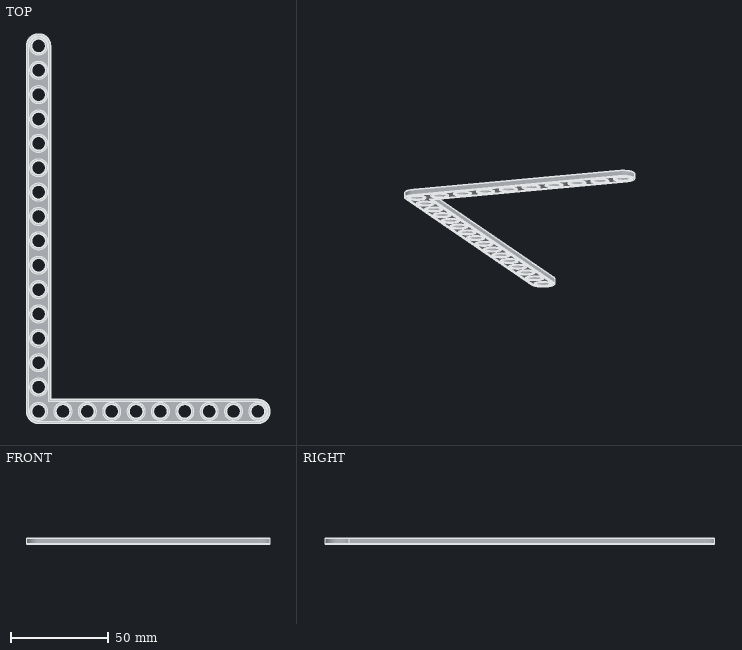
import cadquery as cq

overall_length = 200.0
long_arm_holes = 16
short_arm_holes = 10
thickness = 3.2
hole_diameter = 7.0
hole_rim_diameter = 9.2
edge_chamfer = 0.3
recess_depth = 0.25

pitch = overall_length / long_arm_holes
bar_width = pitch
long_arm_span = (long_arm_holes - 1) * pitch
short_arm_span = (short_arm_holes - 1) * pitch
hole_mouth_diameter = hole_diameter + 2 * edge_chamfer
border_width = (hole_rim_diameter - hole_diameter) / 2
recess_width = bar_width - 2 * border_width


def make_arm(span, width, height, angle):
    """Round-ended bar from the corner hole at the origin, turned about Z by angle."""
    arm = cq.Workplane("XY").center(span / 2, 0).slot2D(span + width, width).extrude(height)
    return arm.rotate((0, 0, 0), (0, 0, 1), angle)


def make_angle_plate(width, height):
    """L-shaped plate of two arms that share the corner hole."""
    short_arm = make_arm(short_arm_span, width, height, 0)
    long_arm = make_arm(long_arm_span, width, height, 90)
    return short_arm.union(long_arm).clean()


def hole_centers():
    """Hole positions along both arms, the shared corner hole counted once."""
    short_arm = [(i * pitch, 0) for i in range(short_arm_holes)]
    long_arm = [(0, i * pitch) for i in range(1, long_arm_holes)]
    return short_arm + long_arm


def make_hole_cutter():
    """Through hole with a chamfer at the top and bottom faces."""
    bore_radius = hole_diameter / 2
    mouth_radius = hole_mouth_diameter / 2
    half_profile = [
        (0, 0),
        (mouth_radius, 0),
        (bore_radius, edge_chamfer),
        (bore_radius, thickness - edge_chamfer),
        (mouth_radius, thickness),
        (0, thickness),
    ]
    return cq.Workplane("XZ").polyline(half_profile).close().revolve(360, (0, 0), (0, 1)).val()


def make_recess_cutter():
    """Shallow field inside the border that leaves a ring standing around each hole."""
    field = make_angle_plate(recess_width, recess_depth)
    rings = cq.Workplane("XY").pushPoints(hole_centers()).circle(hole_rim_diameter / 2).extrude(recess_depth)
    return field.cut(rings)


plate = make_angle_plate(bar_width, thickness)
plate = plate.faces("|Z").chamfer(edge_chamfer)

recess = make_recess_cutter()
plate = plate.cut(recess)
plate = plate.cut(recess.translate((0, 0, thickness - recess_depth)))

hole_cutter = make_hole_cutter()
holes = cq.Workplane("XY").pushPoints(hole_centers()).eachpoint(lambda place: hole_cutter.moved(place))

result = plate.cut(holes)